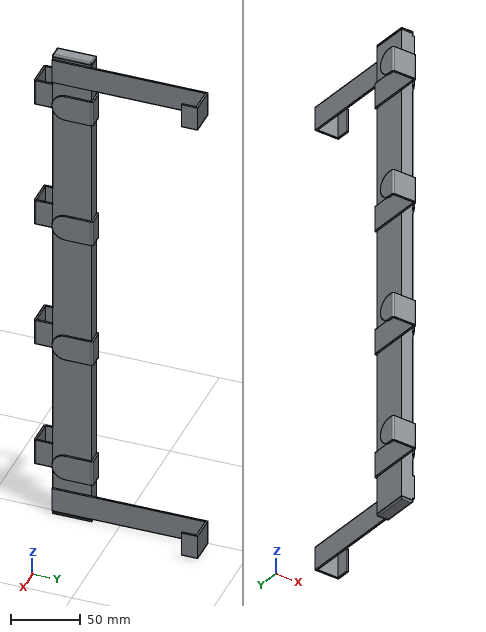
import cadquery as cq
import math

total_width = 52.0
total_depth = 138.5
total_height = 404.0

bar_width = 10.0
bar_depth = 30.5
cap_thickness = 2.0
cap_overhang = 0.1
cap_fillet = 1.0

strip = 1.5

arm_height = 19.5
arm_spacing = 377.0
arm_lip = 12.5

hook_height = 20.5
hook_pitch = 105.5
hook_count = 4
hook_reach = 18.0
hook_lip = 15.5
hook_bend_radius = 1.4

half_width = total_width / 2
half_bar = bar_width / 2
strip_outside = half_bar + strip
front_end = -hook_reach
back_end = total_depth - hook_reach


def box(x_range, y_range, height):
    """Block spanning the given X and Y ranges, centred on Z = 0."""
    x_min, x_max = x_range
    y_min, y_max = y_range
    block = cq.Workplane("XY").box(x_max - x_min, y_max - y_min, height, centered=(False, False, True))
    return block.translate((x_min, y_min, 0))


def make_bar():
    """Upright bar closed at both ends by caps with rounded rims."""
    bar = box((-half_bar, half_bar), (0, bar_depth), total_height - 2 * cap_thickness)
    cap_half_width = half_bar + cap_overhang
    cap = box((-cap_half_width, cap_half_width), (-cap_overhang, bar_depth + cap_overhang), cap_thickness)
    cap = cap.faces(">Z").edges().fillet(cap_fillet)
    top_cap = cap.translate((0, 0, (total_height - cap_thickness) / 2))
    return bar.union(top_cap).union(top_cap.mirror("XY"))


def make_arm():
    """Flat arm along the +X face of the bar, bent into a square hook at the back."""
    shank = box((half_bar, strip_outside), (0, back_end), arm_height)
    bridge = box((half_bar, half_width), (back_end - strip, back_end), arm_height)
    lip = box((half_width - strip, half_width), (back_end - arm_lip, back_end), arm_height)
    return shank.union(bridge).union(lip)


def make_round_ended_strip(x_min, root_y, tip_y):
    """Strip of hook height lying flat against X, square at root_y and half-round at tip_y."""
    end_radius = hook_height / 2
    direction = math.copysign(1, tip_y - root_y)
    arc_start = tip_y - direction * end_radius
    return (
        cq.Workplane("YZ", origin=(x_min, 0, 0))
        .moveTo(root_y, -end_radius)
        .lineTo(arc_start, -end_radius)
        .threePointArc((tip_y, 0), (arc_start, end_radius))
        .lineTo(root_y, end_radius)
        .close()
        .extrude(strip)
    )


def make_hook():
    """Clip around three sides of the bar, bent into a hook at the front; both strip ends are round."""
    clip_back = bar_depth + strip
    hook = box((-strip_outside, -half_bar), (front_end, clip_back), hook_height)
    hook = hook.union(box((-strip_outside, strip_outside), (bar_depth, clip_back), hook_height))
    hook = hook.union(make_round_ended_strip(half_bar, clip_back, 0))
    hook = hook.union(box((-half_width, -half_bar), (front_end, front_end + strip), hook_height))
    hook = hook.union(make_round_ended_strip(-half_width, front_end, front_end + hook_lip))

    bends = [
        (-half_width, front_end),
        (-half_bar, front_end),
        (-strip_outside, clip_back),
        (strip_outside, clip_back),
    ]
    for bend_x, bend_y in bends:
        corner = cq.selectors.NearestToPointSelector((bend_x, bend_y, 0))
        hook = hook.edges(corner).fillet(hook_bend_radius)
    return hook


result = make_bar()

arm = make_arm()
for side in (-1, 1):
    result = result.union(arm.translate((0, 0, side * arm_spacing / 2)))

hook = make_hook()
for index in range(hook_count):
    hook_z = (index - (hook_count - 1) / 2) * hook_pitch
    result = result.union(hook.translate((0, 0, hook_z)))